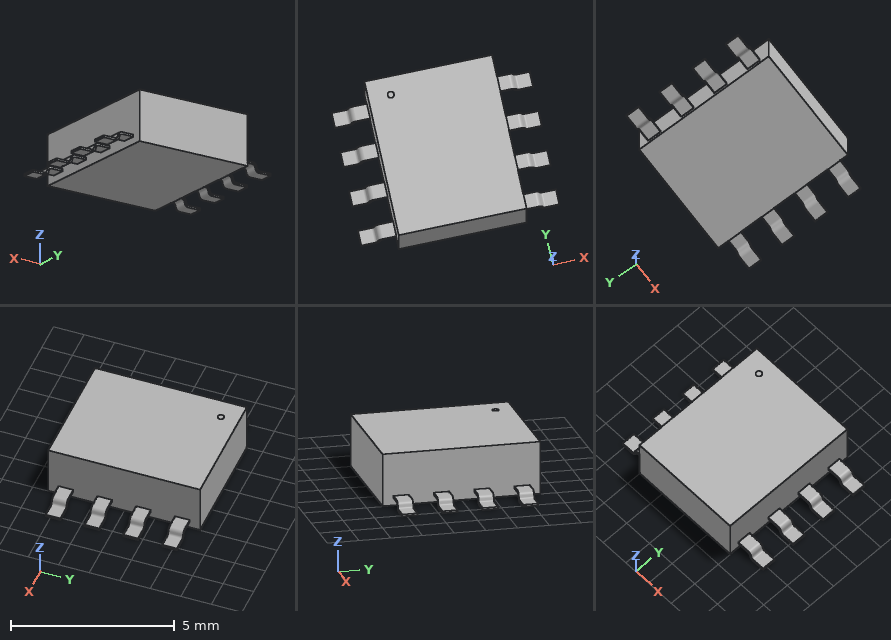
import cadquery as cq
import math

SPAN_X = 6.2
HOUSING_X = 4.0
HOUSING_Y = 4.98
HOUSING_Z = 1.68

LEADS_PER_SIDE = 4
LEAD_PITCH = 1.27
LEAD_WIDTH = 0.485
LEAD_THICKNESS = 0.07
LEAD_TOP_Z = 0.31
FOOT_LENGTH = 0.43
INNER_BEND_RADIUS = 0.085
BEND_ANGLE = math.radians(75)

MARKER_DIAMETER = 0.2
MARKER_DEPTH = 0.1
MARKER_INSET = 0.7

first_lead_y = -LEAD_PITCH * (LEADS_PER_SIDE - 1) / 2
lead_rows = [first_lead_y + row * LEAD_PITCH for row in range(LEADS_PER_SIDE)]

marker_x = -HOUSING_X / 2 + MARKER_INSET
marker_y = lead_rows[-1]


def make_marker():
    """Disc whose top face is level with the top of the housing."""
    return (
        cq.Workplane("XY", origin=(marker_x, marker_y, HOUSING_Z - MARKER_DEPTH))
        .circle(MARKER_DIAMETER / 2)
        .extrude(MARKER_DEPTH)
    )


def make_housing():
    """Plain block with a recess that holds the marker."""
    block = cq.Workplane("XY").box(HOUSING_X, HOUSING_Y, HOUSING_Z, centered=(True, True, False))
    return block.cut(make_marker())


def lead_centreline():
    """Mid-thickness path of a left lead in the XZ plane, from the tip of the foot to the housing."""
    radius = INNER_BEND_RADIUS + LEAD_THICKNESS / 2
    foot_z = LEAD_THICKNESS / 2
    shoulder_z = LEAD_TOP_Z - LEAD_THICKNESS / 2
    tip_x = -SPAN_X / 2
    foot_end_x = tip_x + FOOT_LENGTH

    bend_run = radius * math.sin(BEND_ANGLE)
    bend_rise = radius * (1 - math.cos(BEND_ANGLE))
    riser_rise = shoulder_z - foot_z - 2 * bend_rise
    riser_run = riser_rise / math.tan(BEND_ANGLE)
    riser_start = (foot_end_x + bend_run, foot_z + bend_rise)
    riser_end = (riser_start[0] + riser_run, shoulder_z - bend_rise)

    return (
        cq.Workplane("XZ")
        .moveTo(tip_x, foot_z)
        .lineTo(foot_end_x, foot_z)
        .tangentArcPoint(riser_start, relative=False)
        .lineTo(*riser_end)
        .tangentArcPoint((riser_end[0] + bend_run, shoulder_z), relative=False)
        .lineTo(-HOUSING_X / 2, shoulder_z)
    )


def make_left_lead():
    """Strip of constant section that follows the centreline, centred on Y = 0."""
    return (
        cq.Workplane("YZ", origin=(-SPAN_X / 2, 0, LEAD_THICKNESS / 2))
        .rect(LEAD_WIDTH, LEAD_THICKNESS)
        .sweep(lead_centreline())
    )


def make_leads():
    """One separate lead for each row on both sides of the housing."""
    left_lead = make_left_lead()
    right_lead = left_lead.mirror("YZ")
    leads = []
    for row_y in lead_rows:
        for lead in (left_lead, right_lead):
            leads.append(lead.translate((0, row_y, 0)).val())
    return leads


housing = make_housing()
marker = make_marker()
leads = make_leads()

result = cq.Compound.makeCompound([housing.val(), marker.val(), *leads])